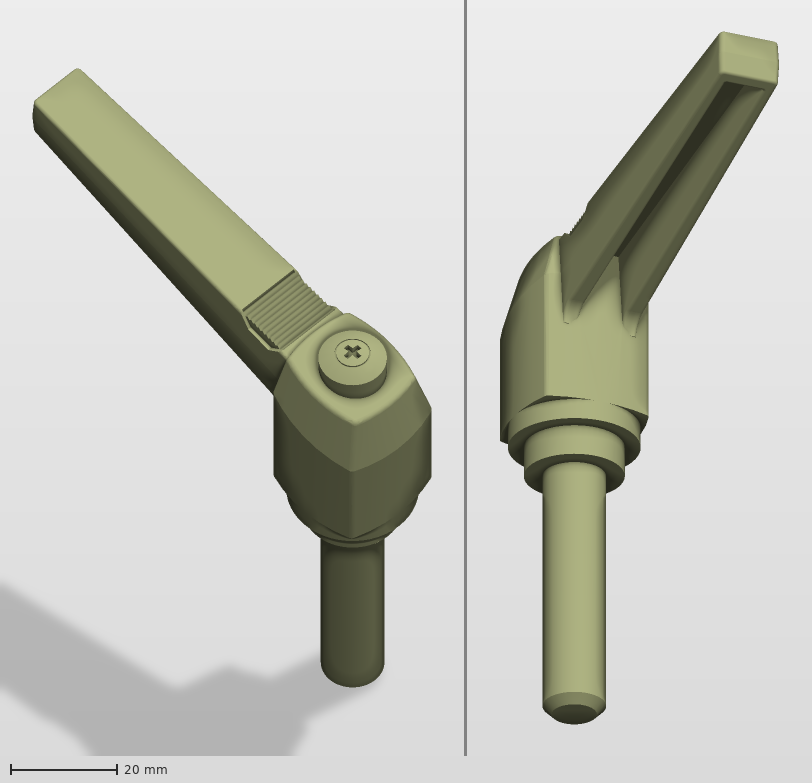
import cadquery as cq
import math

stud_diameter = 12.0
stud_length = 50.0
stud_chamfer = 1.75
collar_diameter = 19.0
collar_height = 6.0
ring_diameter = 25.0
ring_top = 10.0

hub_corner = 10.6
hub_bulge = 12.5
parting_height = 33.2
parting_tilt = 12.9
hub_top_height = 43.25
hub_top_tilt = 10.0
hub_top_left = -9.6
hub_top_left_bulge = -10.6
hub_top_right = 8.8
hub_top_right_bulge = 9.9
hub_top_half_width = 7.9
hub_top_half_bulge = 9.5
hub_corner_radius = 1.2
hub_top_radius = 1.0

lever_tip_x = -80.5
lever_root_x = -8.0
lever_tip_draft = 0.3
lever_top_at_axis = 42.19
lever_top_tilt = 10.0
lever_bottom_at_axis = 24.85
lever_bottom_tilt = 15.7
lever_tip_half_width = 6.2
lever_root_half_width = 8.05
lever_draft = 2.5
lever_tip_radius = 1.0
lever_top_radius = 0.6
lever_bottom_radius = 0.6
root_fillet_start_x = -14.7
root_fillet_end = (-11.9, 25.4)

channel_end_x = -76.2
channel_roof_drop = 3.2
channel_half_width = 3.55
channel_draft = 3.7
channel_corner_radius = 0.8
channel_depth = 30.0

pad_half_width = 6.8
scallop_outline = [(-22.9, 46.4), (-20.4, 43.1), (-14.9, 42.0), (-11.7, 44.3)]
tooth_count = 11
tooth_depth = 0.6
tooth_peak_drop = 0.35

cutter_height = 60.0
cutter_reach = 20.0
lever_overshoot = 15.0
edge_tolerance = 0.3

button_diameter = 12.9
button_base = 30.0
button_rim = 46.6
button_top = 48.6
gap_outer_diameter = 6.8
gap_inner_diameter = 6.2
gap_depth = 0.8
cross_length = 3.6
cross_width = 1.1
cross_depth = 1.5


def height_on_slope(x, height_at_axis, tilt):
    """Z of a plane that falls towards +X."""
    return height_at_axis - math.tan(math.radians(tilt)) * x


def bulged_column(left, right, half_width, left_bulge, right_bulge, half_bulge, height_at_axis, tilt):
    """Upright column with four bulged sides, rounded corners and a sloping top, standing on the ring."""
    middle = (left + right) / 2
    column = (
        cq.Workplane("XY", (0, 0, ring_top))
        .moveTo(left, -half_width)
        .threePointArc((middle, -half_bulge), (right, -half_width))
        .threePointArc((right_bulge, 0), (right, half_width))
        .threePointArc((middle, half_bulge), (left, half_width))
        .threePointArc((left_bulge, 0), (left, -half_width))
        .close()
        .extrude(cutter_height)
        .edges("|Z")
        .fillet(hub_corner_radius)
    )
    left_end = -cutter_reach
    right_end = cutter_reach
    below_slope = (
        cq.Workplane("XZ")
        .moveTo(left_end, 0)
        .lineTo(right_end, 0)
        .lineTo(right_end, height_on_slope(right_end, height_at_axis, tilt))
        .lineTo(left_end, height_on_slope(left_end, height_at_axis, tilt))
        .close()
        .extrude(cutter_reach, both=True)
    )
    return column.intersect(below_slope)


def hub_column(height_at_axis, tilt):
    """The straight part of the hub, up to a sloping plane."""
    return bulged_column(
        -hub_corner, hub_corner, hub_corner, -hub_bulge, hub_bulge, hub_bulge, height_at_axis, tilt
    )


def make_hub():
    column = hub_column(parting_height, parting_tilt)
    narrow_column = bulged_column(
        hub_top_left,
        hub_top_right,
        hub_top_half_width,
        hub_top_left_bulge,
        hub_top_right_bulge,
        hub_top_half_bulge,
        hub_top_height,
        hub_top_tilt,
    )
    parting = column.faces(">Z").val().outerWire()
    top = narrow_column.faces(">Z").val().outerWire()
    crown = cq.Workplane(cq.Solid.makeLoft([parting, top], True))
    crown = crown.faces(">Z").edges().fillet(hub_top_radius)
    return column.union(crown)


def make_round_parts():
    stud = cq.Workplane().circle(stud_diameter / 2).extrude(-stud_length).faces("<Z").chamfer(stud_chamfer)
    collar = cq.Workplane().circle(collar_diameter / 2).extrude(collar_height)
    ring_height = ring_top - collar_height
    ring = cq.Workplane("XY", (0, 0, collar_height)).circle(ring_diameter / 2).extrude(ring_height)
    return stud.union(collar).union(ring)


def make_lever_blank():
    """Tapered bar, widest at the sloping parting plane and drafted above and below it."""
    sections = []
    slope = (lever_root_half_width - lever_tip_half_width) / (lever_root_x - lever_tip_x)
    inset = lever_overshoot * math.tan(math.radians(lever_draft))
    for x in (lever_tip_x - lever_overshoot, lever_root_x):
        half = lever_root_half_width + slope * (x - lever_root_x)
        z = height_on_slope(x, parting_height, parting_tilt)
        section = cq.Workplane("YZ", (x, 0, 0)).polyline([
            (-half + inset, z - lever_overshoot),
            (-half, z),
            (-half + inset, z + lever_overshoot),
            (half - inset, z + lever_overshoot),
            (half, z),
            (half - inset, z - lever_overshoot),
        ]).close()
        sections.append(section.val())
    return cq.Workplane(cq.Solid.makeLoft(sections, True))


def lever_top(x):
    return height_on_slope(x, lever_top_at_axis, lever_top_tilt)


def lever_bottom(x):
    return height_on_slope(x, lever_bottom_at_axis, lever_bottom_tilt)


def make_lever_profile():
    """Side outline of the lever, with the curve that meets the hub underneath."""
    tip_edge_x = lever_tip_x + lever_tip_draft
    tip_parting = height_on_slope(lever_tip_x, parting_height, parting_tilt)
    return (
        cq.Workplane("XZ")
        .moveTo(lever_root_x, lever_top(lever_root_x))
        .lineTo(tip_edge_x, lever_top(tip_edge_x))
        .lineTo(lever_tip_x, tip_parting)
        .lineTo(tip_edge_x, lever_bottom(tip_edge_x))
        .lineTo(root_fillet_start_x, lever_bottom(root_fillet_start_x))
        .tangentArcPoint(root_fillet_end, relative=False)
        .lineTo(lever_root_x, root_fillet_end[1])
        .close()
        .extrude(cutter_reach, both=True)
    )


def make_channel():
    """Cutter for the open underside; its roof runs parallel to the lever top up to the upright hub side."""
    roof_height = lever_top_at_axis - channel_roof_drop
    tilt = math.radians(lever_top_tilt)
    roof_length = (lever_root_x - channel_end_x) / math.cos(tilt)
    middle_x = (lever_root_x + channel_end_x) / 2
    roof = cq.Plane(
        origin=(middle_x, 0, height_on_slope(middle_x, roof_height, lever_top_tilt)),
        xDir=(math.cos(tilt), 0, -math.sin(tilt)),
        normal=(-math.sin(tilt), 0, -math.cos(tilt)),
    )
    channel = (
        cq.Workplane(roof)
        .rect(roof_length, 2 * channel_half_width)
        .extrude(channel_depth, taper=-channel_draft)
        .faces("<X")
        .edges("not |Y")
        .fillet(channel_corner_radius)
    )
    return channel.cut(hub_column(cutter_height, 0))


def cut_grip(lever):
    """Cut the side scallops in full and the middle only down to the saw teeth."""
    start_x = scallop_outline[0][0]
    end_x = scallop_outline[-1][0]
    above = [(end_x, cutter_height), (start_x, cutter_height)]
    scallop = cq.Workplane("XZ").polyline(scallop_outline + above).close().extrude(cutter_reach, both=True)
    pad_space = cq.Workplane().box(2 * cutter_reach, 2 * pad_half_width, 2 * cutter_height)
    scallop = scallop.cut(pad_space.translate((start_x, 0, 0)))

    pitch = (end_x - start_x) / tooth_count
    teeth = []
    for index in range(tooth_count):
        valley_x = start_x + index * pitch
        peak_x = valley_x + pitch / 2
        teeth.append((valley_x, lever_top(valley_x) - tooth_peak_drop - tooth_depth))
        teeth.append((peak_x, lever_top(peak_x) - tooth_peak_drop))
    teeth.append((end_x, lever_top(end_x) - tooth_peak_drop - tooth_depth))
    serration = cq.Workplane("XZ").polyline(teeth + above).close().extrude(pad_half_width, both=True)
    return lever.cut(scallop).cut(serration)


def is_tip_corner(edge):
    """True for the upright edges at the two front corners of the lever."""
    center = edge.Center()
    at_tip = abs(center.x - lever_tip_x) < lever_tip_radius
    return at_tip and abs(center.y) > lever_tip_half_width / 2


def is_top_edge(edge):
    """True for the edges around the lever top, except where it enters the hub."""
    center = edge.Center()
    return center.x < lever_root_x - edge_tolerance and abs(center.z - lever_top(center.x)) < edge_tolerance


def is_bottom_edge(edge):
    """True for the edges of the channel rim and of the lever underside."""
    center = edge.Center()
    return abs(center.z - lever_bottom(center.x)) < edge_tolerance


def make_lever():
    lever = make_lever_blank().intersect(make_lever_profile())
    lever = lever.edges().filter(is_tip_corner).fillet(lever_tip_radius)
    lever = lever.edges().filter(is_top_edge).fillet(lever_top_radius)
    lever = lever.cut(make_channel())
    lever = lever.edges().filter(is_bottom_edge).fillet(lever_bottom_radius)
    return cut_grip(lever)


def make_button():
    """Domed push button holding a flush cross-recess screw."""
    radius = button_diameter / 2
    rim_to_top = button_top - button_rim
    dome_radius = (radius ** 2 + rim_to_top ** 2) / (2 * rim_to_top)
    half_radius = radius / 2
    half_height = button_top - dome_radius + math.sqrt(dome_radius ** 2 - half_radius ** 2)
    button = (
        cq.Workplane("XZ")
        .moveTo(0, button_base)
        .lineTo(radius, button_base)
        .lineTo(radius, button_rim)
        .threePointArc((half_radius, half_height), (0, button_top))
        .close()
        .revolve(360, (0, 0, 0), (0, 1, 0))
    )
    gap = (
        cq.Workplane("XY", (0, 0, button_top - gap_depth))
        .circle(gap_outer_diameter / 2)
        .circle(gap_inner_diameter / 2)
        .extrude(gap_depth)
    )
    recess_plane = cq.Workplane("XY", (0, 0, button_top - cross_depth))
    arm_x = recess_plane.rect(cross_length, cross_width).extrude(cross_depth)
    arm_y = recess_plane.rect(cross_width, cross_length).extrude(cross_depth)
    return button.cut(gap).cut(arm_x.union(arm_y))


result = make_round_parts().union(make_hub()).union(make_lever()).union(make_button())